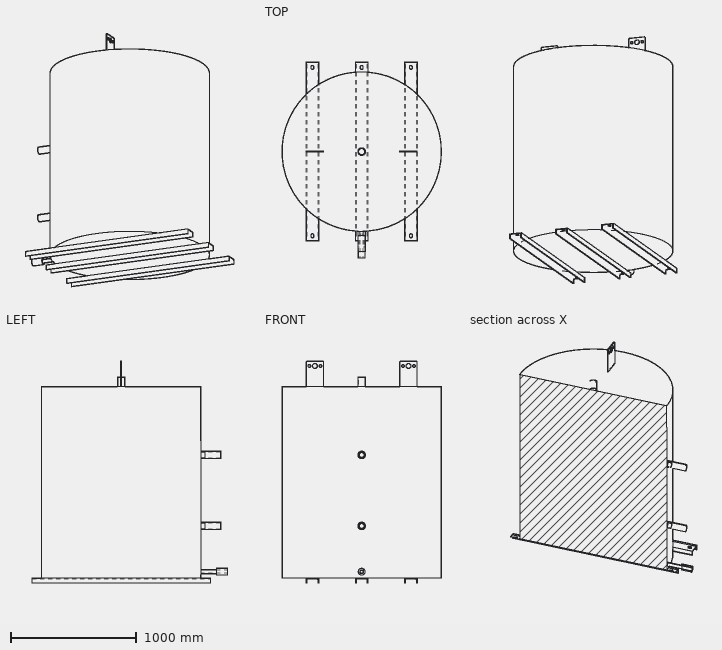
import cadquery as cq

TANK_DIAMETER = 1270.0
TANK_HEIGHT = 1524.0
TANK_RADIUS = TANK_DIAMETER / 2

CHANNEL_WIDTH = 101.6
CHANNEL_HEIGHT = 38.71
CHANNEL_LENGTH = 1422.4
WEB_THICKNESS = 4.7
LEG_THICKNESS = 7.9
ROOT_FILLET_RADIUS = 7.9
CHANNEL_SPAN = 886.0
CHANNEL_OFFSET = (CHANNEL_SPAN - CHANNEL_WIDTH) / 2
SLOT_WIDTH = 20.6
SLOT_LENGTH = 30.0
SLOT_END_DISTANCE = 41.3

LUG_WIDTH = 139.7
LUG_HEIGHT = 203.2
LUG_THICKNESS = 7.9375
LUG_CORNER_CHAMFER = 6.35
LUG_SPAN = 884.0
LUG_OFFSET = (LUG_SPAN - LUG_WIDTH) / 2
LUG_HOLE_DROP = 38.1
LIFTING_HOLE_DIAMETER = 38.1
SIDE_HOLE_DIAMETER = 20.6
SIDE_HOLE_OFFSET = 44.45

PIPE_DIAMETER = 60.325
SIDE_PIPE_BORE = 38.1
SIDE_PIPE_COUNTERBORE = 50.8
SIDE_COUNTERBORE_DEPTH = 127.0
ROOF_PIPE_BORE = 49.25
ROOF_PIPE_HEIGHT = 76.2
SIDE_PIPE_REACH = 793.75
SIDE_PIPE_HEIGHTS = (416.0, 981.0)

OVERALL_LENGTH = 1558.24
DRAIN_HEIGHT = 52.0
DRAIN_REACH = OVERALL_LENGTH - CHANNEL_LENGTH / 2
DRAIN_PIPE_DIAMETER = 33.4
DRAIN_BORE = 24.3
COUPLING_DIAMETER = 55.0
COUPLING_LENGTH = 89.0


def make_tank():
    return cq.Workplane("XY").circle(TANK_RADIUS).extrude(TANK_HEIGHT)


def make_channel(x):
    inner_width = CHANNEL_WIDTH - 2 * LEG_THICKNESS
    inner_height = CHANNEL_HEIGHT - WEB_THICKNESS
    half_length = CHANNEL_LENGTH / 2
    outer = cq.Workplane("XY").box(
        CHANNEL_WIDTH, CHANNEL_LENGTH, CHANNEL_HEIGHT, centered=(True, True, False)
    )
    inner = (
        cq.Workplane("XY")
        .box(inner_width, CHANNEL_LENGTH, inner_height, centered=(True, True, False))
        .edges("|Y and >Z")
        .fillet(ROOT_FILLET_RADIUS)
    )
    slot_y = half_length - SLOT_END_DISTANCE
    slots = (
        cq.Workplane("XY")
        .pushPoints([(0, -slot_y), (0, slot_y)])
        .slot2D(SLOT_LENGTH, SLOT_WIDTH, 90)
        .extrude(CHANNEL_HEIGHT)
    )
    return outer.cut(inner).cut(slots).translate((x, 0, -CHANNEL_HEIGHT))


def make_lug(x):
    plate = (
        cq.Workplane("XY")
        .box(LUG_WIDTH, LUG_THICKNESS, LUG_HEIGHT, centered=(True, True, False))
        .edges("|Y and >Z")
        .chamfer(LUG_CORNER_CHAMFER)
    )
    hole_z = LUG_HEIGHT - LUG_HOLE_DROP
    holes = (
        cq.Workplane("XZ")
        .center(0, hole_z)
        .circle(LIFTING_HOLE_DIAMETER / 2)
        .pushPoints([(-SIDE_HOLE_OFFSET, 0), (SIDE_HOLE_OFFSET, 0)])
        .circle(SIDE_HOLE_DIAMETER / 2)
        .extrude(LUG_THICKNESS, both=True)
    )
    return plate.cut(holes).translate((x, 0, TANK_HEIGHT))


def make_roof_nozzle():
    return (
        cq.Workplane("XY", origin=(0, 0, TANK_HEIGHT))
        .circle(PIPE_DIAMETER / 2)
        .circle(ROOF_PIPE_BORE / 2)
        .extrude(ROOF_PIPE_HEIGHT)
    )


def make_front_rod(diameter, height, reach):
    """Solid round bar from the tank axis out to the given reach along -Y."""
    return cq.Workplane("XZ", origin=(0, 0, height)).circle(diameter / 2).extrude(reach)


def make_side_nozzle(height, tank):
    pipe = make_front_rod(PIPE_DIAMETER, height, SIDE_PIPE_REACH)
    bore = make_front_rod(SIDE_PIPE_BORE, height, SIDE_PIPE_REACH)
    counterbore = (
        cq.Workplane("XZ", origin=(0, SIDE_COUNTERBORE_DEPTH - SIDE_PIPE_REACH, height))
        .circle(SIDE_PIPE_COUNTERBORE / 2)
        .extrude(SIDE_COUNTERBORE_DEPTH)
    )
    return pipe.cut(bore).cut(counterbore).cut(tank)


def make_drain(tank):
    pipe = make_front_rod(DRAIN_PIPE_DIAMETER, DRAIN_HEIGHT, DRAIN_REACH)
    coupling = (
        cq.Workplane("XZ", origin=(0, COUPLING_LENGTH - DRAIN_REACH, DRAIN_HEIGHT))
        .circle(COUPLING_DIAMETER / 2)
        .extrude(COUPLING_LENGTH)
    )
    bore = make_front_rod(DRAIN_BORE, DRAIN_HEIGHT, DRAIN_REACH)
    return pipe.union(coupling).cut(bore).cut(tank)


tank = make_tank()
result = tank.union(make_roof_nozzle()).union(make_drain(tank))
for channel_x in (-CHANNEL_OFFSET, 0, CHANNEL_OFFSET):
    result = result.union(make_channel(channel_x))
for lug_x in (-LUG_OFFSET, LUG_OFFSET):
    result = result.union(make_lug(lug_x))
for nozzle_height in SIDE_PIPE_HEIGHTS:
    result = result.union(make_side_nozzle(nozzle_height, tank))